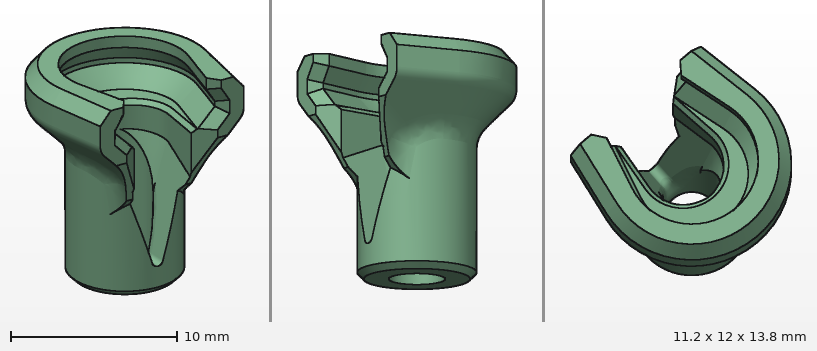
import cadquery as cq
import math

stem_radius = 3.6
stem_chamfer = 0.4
bore_radius = 1.7
total_height = 13.8

head_radius = 6.0
arm_end_x = 5.15
outer_arm_angle = 10
rim_chamfer_width = 0.75
rim_chamfer_height = 0.85
head_band_bottom = 11.6
head_under_fillet = 1.0
neck_fillet = 2.0
head_cone_apex_z = head_band_bottom - head_radius - head_under_fillet * (math.sqrt(2) - 1)

pocket_arm_angle = 15
pocket_floor_z = 10.56
pocket_floor_radius = 3.4
groove_radius = 4.6
groove_bottom_z = pocket_floor_z + groove_radius - pocket_floor_radius
groove_top_z = 12.1
lip_radius = 4.0
lip_bottom_z = 13.05
mouth_chamfer = 0.77

slot_arm_angle = 7
slot_center_x = 0.8
slot_radius = 2.45
slot_chamfer = 0.3
slot_mouth_x = 4.11
slot_mouth_half_width = 3.28

trough_angle = 17.9
trough_root_radius = 0.4
trough_back_x = 0.88
trough_root_tangent_z = 2.06
bore_edge_fillet = 1.0

rib_point = (3.74, 2.61, 7.85)
rib_normal = (-0.22, 0.945, -0.24)
rib_bottom_z = 4.5

arm_end_bottom_z = 10.05
arm_heel_x = 3.73
arm_heel_z = 6.75

reach = 10.0
clearance = 0.1


def both_sides(body):
    return body.union(body.mirror("XZ"))


def fork_sweep(profile, closing_angle, length):
    """Sweep a (radius, z) profile round the back and straight along both arms."""
    angle = math.radians(closing_angle)
    radial = (math.sin(angle), math.cos(angle), 0)
    along_arm = (math.cos(angle), -math.sin(angle), 0)
    section = cq.Workplane(cq.Plane((0, 0, 0), radial, along_arm))
    arm = profile(section).extrude(length)
    back = profile(section).revolve(180 + 2 * closing_angle, (0, 0), (0, 1))
    return both_sides(arm).union(back)


def head_profile(section):
    tangent = math.sqrt(0.5)
    fillet_center_r = head_radius - head_under_fillet
    cone_top_r = fillet_center_r + head_under_fillet * tangent
    cone_top_z = head_band_bottom - head_under_fillet * tangent
    arc_middle_r = fillet_center_r + head_under_fillet * math.cos(math.pi / 8)
    arc_middle_z = head_band_bottom - head_under_fillet * math.sin(math.pi / 8)
    return (
        section.moveTo(0, head_cone_apex_z)
        .lineTo(cone_top_r, cone_top_z)
        .threePointArc((arc_middle_r, arc_middle_z), (head_radius, head_band_bottom))
        .lineTo(head_radius, total_height - rim_chamfer_height)
        .lineTo(head_radius - rim_chamfer_width, total_height)
        .lineTo(0, total_height)
        .close()
    )


def rib_block():
    """Solid block between the two leaning, mirrored rib faces."""
    rib_height = arm_end_bottom_z - rib_bottom_z
    block = (
        cq.Workplane("XY")
        .workplane(offset=rib_bottom_z)
        .box(reach, reach, rib_height, centered=(False, True, False))
    )
    rib_face = cq.Plane(rib_point, (1, 0, 0), rib_normal)
    outside = cq.Workplane(rib_face).rect(4 * reach, 4 * reach).extrude(reach)
    return block.cut(outside).cut(outside.mirror("XZ"))


def outer_body():
    head = fork_sweep(head_profile, outer_arm_angle, reach)
    stem = cq.Workplane("XY").circle(stem_radius).extrude(pocket_floor_z)
    beyond_arms = (
        cq.Workplane("XY")
        .box(reach, 2 * reach, total_height, centered=(False, True, False))
        .translate((arm_end_x, 0, 0))
    )
    body = head.union(rib_block()).cut(beyond_arms).union(stem).clean()
    neck_edges_top_z = (arm_end_bottom_z + head_cone_apex_z + stem_radius) / 2
    neck_edges = cq.selectors.BoxSelector(
        (-stem_radius, -stem_radius, rib_bottom_z + clearance),
        (arm_end_x - clearance, stem_radius, neck_edges_top_z),
    )
    body = body.edges(neck_edges).fillet(neck_fillet)
    return body.faces("<Z").chamfer(stem_chamfer)


def arm_underside():
    """Sloped end of the arms and ribs, with a 45 degree heel running back to the stem."""
    heel_drop = arm_heel_z - rib_bottom_z
    waste = (
        cq.Workplane("XZ")
        .moveTo(arm_end_x, arm_end_bottom_z)
        .lineTo(arm_heel_x, arm_heel_z)
        .lineTo(arm_heel_x - heel_drop, rib_bottom_z)
        .lineTo(arm_heel_x - heel_drop, rib_bottom_z - clearance)
        .lineTo(arm_end_x + clearance, rib_bottom_z - clearance)
        .lineTo(arm_end_x + clearance, arm_end_bottom_z)
        .close()
        .extrude(reach, both=True)
    )
    stem = cq.Workplane("XY").circle(stem_radius).extrude(total_height)
    return waste.cut(stem)


def pocket_profile(section):
    return (
        section.moveTo(0, pocket_floor_z)
        .lineTo(pocket_floor_radius, pocket_floor_z)
        .lineTo(groove_radius, groove_bottom_z)
        .lineTo(groove_radius, groove_top_z)
        .lineTo(lip_radius, lip_bottom_z)
        .lineTo(lip_radius, total_height + clearance)
        .lineTo(0, total_height + clearance)
        .close()
    )


def slot_profile(section):
    return (
        section.moveTo(0, 0)
        .lineTo(slot_radius, 0)
        .lineTo(slot_radius, pocket_floor_z - slot_chamfer)
        .lineTo(slot_radius + slot_chamfer, pocket_floor_z)
        .lineTo(0, pocket_floor_z)
        .close()
    )


def trough_shape():
    """V trough along +X with a rounded lip into the bore, closed at the back by a cone of the same slope."""
    slope = math.radians(trough_angle)
    apex_z = trough_root_tangent_z - trough_root_radius * math.cos(slope) / math.tan(slope)
    half_width = (pocket_floor_z - apex_z) * math.tan(slope)
    vee = (
        cq.Workplane("YZ")
        .polyline([(0, apex_z), (half_width, pocket_floor_z), (-half_width, pocket_floor_z)])
        .close()
        .extrude(reach, both=True)
        .edges("|X and <Z")
        .fillet(trough_root_radius)
    )
    blank = cq.Workplane("XY").box(2 * reach, 2 * reach, pocket_floor_z, centered=(True, True, False))
    lip_edges = cq.selectors.BoxSelector(
        (-bore_radius - clearance, -bore_radius - clearance, clearance),
        (bore_radius + clearance, bore_radius + clearance, pocket_floor_z - clearance),
    )
    turned_bore = bore().rotate((0, 0, 0), (0, 0, 1), 90)
    troughed = blank.cut(vee).cut(turned_bore).edges(lip_edges).edges("not |Z").fillet(bore_edge_fillet)
    front_half = blank.translate((trough_back_x + reach, 0, 0))
    cone = (
        cq.Workplane("XZ")
        .center(trough_back_x, 0)
        .polyline([(0, apex_z), (half_width, pocket_floor_z), (0, pocket_floor_z)])
        .close()
        .revolve(360, (0, 0), (0, 1))
        .cut(front_half)
    )
    return blank.cut(troughed).intersect(front_half).union(cone)


def slot_and_trough():
    slot = fork_sweep(slot_profile, slot_arm_angle, reach).translate((slot_center_x, 0, 0))
    return slot.intersect(trough_shape())


def arm_line_y(radius, closing_angle, x):
    """Y of the straight stretch of a fork path with the given back radius."""
    angle = math.radians(closing_angle)
    return radius / math.cos(angle) - x * math.tan(angle)


def pocket_mouth():
    """Chamfer round the pocket section where it opens through the arm ends."""
    start_x = arm_end_x - mouth_chamfer
    undercut = math.atan2(groove_radius - lip_radius, lip_bottom_z - groove_top_z)
    undercut_rise = mouth_chamfer * math.tan(undercut / 2)
    ramp_drop = mouth_chamfer * math.tan(math.pi / 8)

    def wall_y(radius, x):
        return arm_line_y(radius, pocket_arm_angle, x)

    start = [
        (wall_y(pocket_floor_radius, start_x), pocket_floor_z),
        (wall_y(groove_radius, start_x), groove_bottom_z),
        (wall_y(groove_radius, start_x), groove_top_z),
        (wall_y(lip_radius, start_x), lip_bottom_z),
        (wall_y(lip_radius, start_x), total_height),
    ]
    groove_y = wall_y(groove_radius, arm_end_x) + mouth_chamfer
    lip_y = wall_y(lip_radius, arm_end_x) + mouth_chamfer
    end_groove_bottom_z = groove_bottom_z - ramp_drop
    end = [
        (slot_mouth_half_width, end_groove_bottom_z - groove_y + slot_mouth_half_width),
        (groove_y, end_groove_bottom_z),
        (groove_y, groove_top_z + undercut_rise),
        (lip_y, lip_bottom_z + undercut_rise),
        (lip_y, total_height),
    ]

    def closed(points):
        return points + [(-y, z) for y, z in reversed(points)]

    return (
        cq.Workplane("YZ")
        .workplane(offset=start_x)
        .polyline(closed(start))
        .close()
        .workplane(offset=mouth_chamfer)
        .polyline(closed(end))
        .close()
        .loft(ruled=True)
    )


def slot_mouth():
    """Flare of the slot walls at the arm ends."""
    wall_y = arm_line_y(slot_radius, slot_arm_angle, slot_mouth_x - slot_center_x)
    return (
        cq.Workplane("XY")
        .workplane(offset=rib_bottom_z)
        .polyline([
            (slot_mouth_x, wall_y),
            (arm_end_x, slot_mouth_half_width),
            (arm_end_x, -slot_mouth_half_width),
            (slot_mouth_x, -wall_y),
        ])
        .close()
        .extrude(pocket_floor_z + clearance - rib_bottom_z)
    )


def bore():
    return cq.Workplane("XY").circle(bore_radius).extrude(total_height)


result = (
    outer_body()
    .cut(arm_underside())
    .cut(fork_sweep(pocket_profile, pocket_arm_angle, reach))
    .cut(slot_and_trough())
    .cut(slot_mouth())
    .cut(pocket_mouth())
    .cut(bore())
)